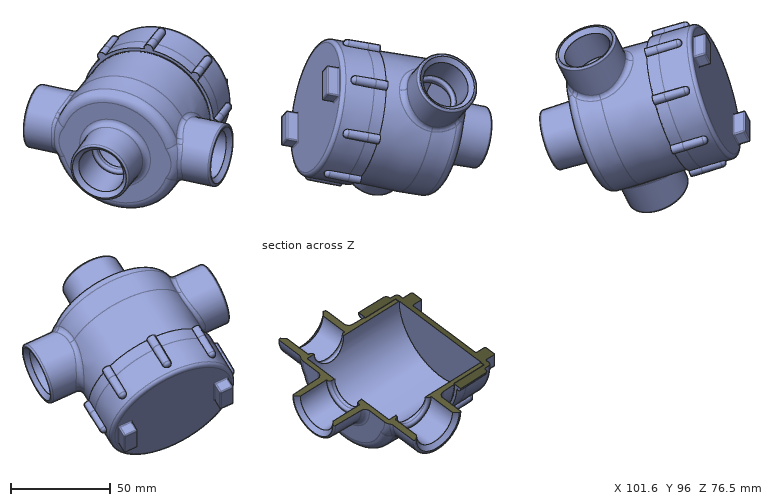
import cadquery as cq
import math


BODY_RADIUS = 34.3
BODY_DRAFT = 1.3
BODY_FRONT = -17.8
BODY_FRONT_ROUND = 5.1
CAVITY_RADIUS = 30.5
LOBE_OFFSET = 16.3
LOBE_RADIUS = 19.3
LOBE_DEPTH = 10.2
FRONT_WALL = 3.0
CAVITY_FLOOR = BODY_FRONT + FRONT_WALL

NECK_DIAMETER = 66.4

CAP_FRONT = 27.1
CAP_BACK = 51.0
CAP_WALL = 3.0
CAP_RADIUS = 35.5
CAP_STRAIGHT = 6.5
CAP_DRAFT = 0.4
CAP_ROUND = 2.0
CAP_FLOOR = CAP_BACK - CAP_WALL

RIB_COUNT = 8
RIB_SPAN = 76.5
RIB_RADIUS = 2.4
RIB_CENTRE_RADIUS = RIB_SPAN / 2 - RIB_RADIUS
RIB_DRAFT = 0.8
RIB_END = 46.2
RIB_END_ROUND = 2.0

LUG_SPACING = 54.7
LUG_WIDTH = 7.5
LUG_HEIGHT = 16.3
LUG_BACK = 57.3
LUG_ROUND = 0.7
LUG_FOOT_ROUND = 0.5

TUBE_END = 50.8
TUBE_DIAMETER = 32.5
TUBE_ROOT_ROUND = 3.0
HUB_END = -38.7
HUB_END_RADIUS = 15.7
HUB_DRAFT = 1.6
HUB_ROOT_ROUND = 3.0
RIM_ROUND = 0.9

BORE_DIAMETER = 24.5
MOUTH_RADIUS = 14.6
MOUTH_DEPTH = 2.4
PASSAGE_DIAMETER = 20.1
LIP_ROUND = 1.6
TUBE_BORE_DEPTH = 18.3
HUB_BORE_DEPTH = 20.3


def drafted(length, degrees):
    """Radius lost along a length at a draft angle."""
    return length * math.tan(math.radians(degrees))


def turned(profile):
    """Solid of revolution about Y from a profile of (radius, Y) points."""
    return profile.close().revolve(360, (0, 0), (0, 1))


def stepped_bore(bore_depth, passage_depth):
    """Cutter along +Y from its mouth at Y = 0: countersink, bore, rounded lip, passage."""
    bore_radius = BORE_DIAMETER / 2
    passage_radius = PASSAGE_DIAMETER / 2
    curve = LIP_ROUND * math.sqrt(0.5)
    return turned(
        cq.Workplane("XY")
        .lineTo(MOUTH_RADIUS, 0)
        .lineTo(bore_radius, MOUTH_DEPTH)
        .lineTo(bore_radius, bore_depth)
        .lineTo(passage_radius + LIP_ROUND, bore_depth)
        .threePointArc(
            (passage_radius + LIP_ROUND - curve, bore_depth + LIP_ROUND - curve),
            (passage_radius, bore_depth + LIP_ROUND),
        )
        .lineTo(passage_radius, passage_depth)
        .lineTo(0, passage_depth)
    )


def make_shell():
    """Solid drafted barrel with a rounded front edge."""
    front_radius = BODY_RADIUS - drafted(-BODY_FRONT, BODY_DRAFT)
    shoulder_radius = BODY_RADIUS - drafted(CAP_FRONT, BODY_DRAFT)
    shell = turned(
        cq.Workplane("XY")
        .moveTo(0, BODY_FRONT)
        .lineTo(front_radius, BODY_FRONT)
        .lineTo(BODY_RADIUS, 0)
        .lineTo(shoulder_radius, CAP_FRONT)
        .lineTo(0, CAP_FRONT)
    )
    return shell.faces("<Y").edges().fillet(BODY_FRONT_ROUND)


def make_lobe(side):
    """Disc that widens the front face towards the branch tube on one side (-1 or 1)."""
    return (
        cq.Workplane("XZ", origin=(side * LOBE_OFFSET, BODY_FRONT, 0))
        .circle(LOBE_RADIUS)
        .extrude(-LOBE_DEPTH)
        .faces("<Y")
        .edges()
        .fillet(BODY_FRONT_ROUND)
    )


def make_tubes():
    """Both branch tubes as one bar through the body, with rounded rims."""
    bar = cq.Workplane("YZ").circle(TUBE_DIAMETER / 2).extrude(TUBE_END, both=True)
    return bar.faces("<X or >X").edges().fillet(RIM_ROUND)


def make_hub():
    """Solid drafted hub from the parting plane to its rounded rim."""
    root_radius = HUB_END_RADIUS + drafted(-HUB_END, HUB_DRAFT)
    hub = turned(
        cq.Workplane("XY")
        .lineTo(root_radius, 0)
        .lineTo(HUB_END_RADIUS, HUB_END)
        .lineTo(0, HUB_END)
    )
    return hub.faces("<Y").edges().fillet(RIM_ROUND)


def make_neck():
    """Solid neck from the parting plane to the inner face of the cap."""
    return turned(
        cq.Workplane("XY")
        .lineTo(NECK_DIAMETER / 2, 0)
        .lineTo(NECK_DIAMETER / 2, CAP_FLOOR)
        .lineTo(0, CAP_FLOOR)
    )


def make_cavity():
    """Round chamber, open at the end of the neck."""
    return turned(
        cq.Workplane("XY")
        .moveTo(0, CAVITY_FLOOR)
        .lineTo(CAVITY_RADIUS, CAVITY_FLOOR)
        .lineTo(CAVITY_RADIUS, CAP_FLOOR)
        .lineTo(0, CAP_FLOOR)
    )


def is_tube_root(edge):
    """True for the free-form edges that lie on the tube surface."""
    middle = edge.positionAt(0.5)
    return edge.geomType() == "BSPLINE" and abs(math.hypot(middle.y, middle.z) - TUBE_DIAMETER / 2) < 0.01


def make_body():
    body = make_shell().union(make_lobe(-1)).union(make_lobe(1)).union(make_tubes())
    tube_roots = [edge for edge in body.edges().vals() if is_tube_root(edge)]
    body = body.newObject(tube_roots).fillet(TUBE_ROOT_ROUND)

    body = body.union(make_hub())
    hub_root_radius = HUB_END_RADIUS + drafted(BODY_FRONT - HUB_END, HUB_DRAFT)
    hub_root = cq.selectors.BoxSelector(
        (-hub_root_radius - 1, BODY_FRONT - 0.1, -hub_root_radius - 1),
        (hub_root_radius + 1, BODY_FRONT + 0.1, hub_root_radius + 1),
        boundingbox=True,
    )
    body = body.edges(hub_root).fillet(HUB_ROOT_ROUND)

    body = body.union(make_neck()).cut(make_cavity())
    tube_bore = stepped_bore(TUBE_BORE_DEPTH, TUBE_END)
    hub_bore = stepped_bore(HUB_BORE_DEPTH, -HUB_END)
    for side in (-90, 90):
        bore = tube_bore.translate((0, -TUBE_END, 0)).rotate((0, 0, 0), (0, 0, 1), side)
        body = body.cut(bore)
    return body.cut(hub_bore.translate((0, HUB_END, 0)))


def make_rib(angle):
    """Grip rib parallel to Y: straight along the skirt, then drafted to a rounded end."""
    skirt_end = CAP_FRONT + CAP_STRAIGHT
    end_radius = RIB_RADIUS - drafted(RIB_END - skirt_end, RIB_DRAFT)
    rib = turned(
        cq.Workplane("XY")
        .moveTo(0, CAP_FRONT)
        .lineTo(RIB_RADIUS, CAP_FRONT)
        .lineTo(RIB_RADIUS, skirt_end)
        .lineTo(end_radius, RIB_END)
        .lineTo(0, RIB_END)
    )
    rib = rib.faces(">Y").edges().fillet(RIB_END_ROUND)
    return rib.translate((RIB_CENTRE_RADIUS, 0, 0)).rotate((0, 0, 0), (0, 1, 0), angle)


def make_lugs():
    """Two rectangular lugs side by side on the back of the cap."""
    return (
        cq.Workplane("XZ", origin=(0, CAP_FLOOR, 0))
        .pushPoints([(-LUG_SPACING / 2, 0), (LUG_SPACING / 2, 0)])
        .rect(LUG_WIDTH, LUG_HEIGHT)
        .extrude(CAP_FLOOR - LUG_BACK)
        .edges("|Y or >Y")
        .fillet(LUG_ROUND)
    )


def make_cap():
    skirt_end = CAP_FRONT + CAP_STRAIGHT
    back_radius = CAP_RADIUS - drafted(CAP_BACK - skirt_end, CAP_DRAFT)
    cap = turned(
        cq.Workplane("XY")
        .moveTo(0, CAP_FRONT)
        .lineTo(CAP_RADIUS, CAP_FRONT)
        .lineTo(CAP_RADIUS, skirt_end)
        .lineTo(back_radius, CAP_BACK)
        .lineTo(0, CAP_BACK)
    )
    cap = cap.faces(">Y").edges().fillet(CAP_ROUND)
    cap = cap.union(make_lugs())

    reach = (LUG_SPACING + LUG_WIDTH) / 2 + 0.1
    lug_feet = cq.selectors.BoxSelector(
        (-reach, CAP_BACK - 0.1, -LUG_HEIGHT), (reach, CAP_BACK + 0.1, LUG_HEIGHT), boundingbox=True
    )
    cap = cap.edges(lug_feet).fillet(LUG_FOOT_ROUND)

    for index in range(RIB_COUNT):
        cap = cap.union(make_rib(index * 360 / RIB_COUNT))
    return cap.cut(make_neck())


body = make_body()
cap = make_cap()
result = cq.Compound.makeCompound([body.val(), cap.val()])